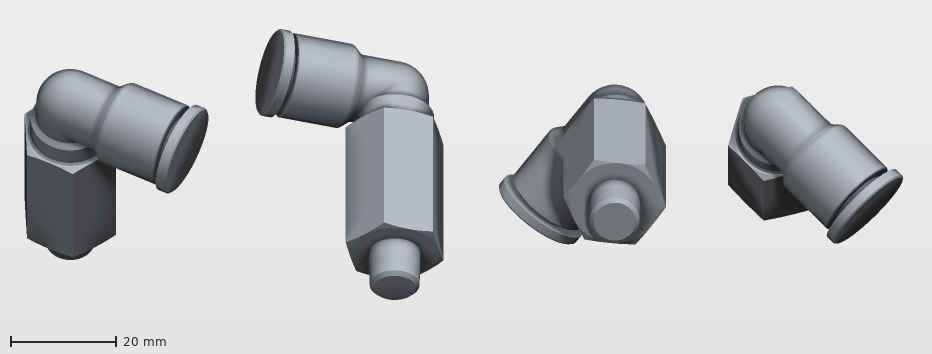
import cadquery as cq
import math

thread_chamfer = 0.75
hex_bottom = 8.05
hex_top = 35.7
flare_height = 0.35
collar_taper_top = 38.25
collar_rim = 39.75
collar_top = 40.75
overall_height = 52.95

thread_base_radius = 5.0
thread_taper = 1 / 32
thread_end_radius = thread_base_radius - (hex_bottom - thread_chamfer) * thread_taper

hex_across_flats = 17.0
hex_across_corners = hex_across_flats / math.cos(math.radians(30))
hex_chamfer_angle = 20

flare_radius = 8.15
collar_base_radius = 7.75
collar_radius = 7.5

elbow_radius = 6.5
socket_radius = 8.15
axis_height = overall_height - socket_radius
shoulder_start = 8.05
shoulder_end = 9.95
shoulder_fillet = 1.0
socket_end = 21.75
socket_chamfer = 0.185

neck_radius = 5.9
flange_start = 23.0
flange_thickness = 2.0
flange_half_width = 9.24
flange_half_height = 8.0
flange_chamfer = 0.3


def turned_about_z(profile):
    return cq.Workplane("XZ").polyline(profile).close().revolve(360, (0, 0, 0), (0, 1, 0))


def hexagon():
    height = hex_top - hex_bottom
    prism = cq.Workplane("XY", origin=(0, 0, hex_bottom)).polygon(6, hex_across_corners).extrude(height)
    flat_radius = hex_across_flats / 2
    corner_radius = hex_across_corners / 2
    drop = (corner_radius - flat_radius) * math.tan(math.radians(hex_chamfer_angle))
    turned_envelope = turned_about_z([
        (0, hex_bottom),
        (flat_radius, hex_bottom),
        (corner_radius, hex_bottom + drop),
        (corner_radius, hex_top - drop),
        (flat_radius, hex_top),
        (0, hex_top),
    ])
    return prism.intersect(turned_envelope)


def threaded_end():
    return turned_about_z([
        (0, 0),
        (thread_end_radius - thread_chamfer, 0),
        (thread_end_radius, thread_chamfer),
        (thread_base_radius, hex_bottom),
        (0, hex_bottom),
    ])


def collar():
    return turned_about_z([
        (0, hex_top),
        (flare_radius, hex_top),
        (collar_base_radius, hex_top + flare_height),
        (collar_radius, collar_taper_top),
        (collar_radius, collar_rim),
        (elbow_radius, collar_top),
        (0, collar_top),
    ])


def elbow():
    vertical_leg = (
        cq.Workplane("XY", origin=(0, 0, hex_top))
        .circle(elbow_radius)
        .extrude(axis_height - hex_top)
    )
    corner_ball = cq.Workplane("XY", origin=(0, 0, axis_height)).sphere(elbow_radius)
    return vertical_leg.union(corner_ball)


def socket():
    profile = [
        (0, 0),
        (0, elbow_radius),
        (shoulder_start, elbow_radius),
        (shoulder_end, socket_radius),
        (socket_end, socket_radius),
        (socket_end, 0),
    ]
    body = (
        cq.Workplane("XZ", origin=(0, 0, axis_height))
        .polyline(profile)
        .close()
        .revolve(360, (0, 0, 0), (1, 0, 0))
    )
    end_rim = body.faces(">X").edges().chamfer(socket_chamfer)
    shoulder = end_rim.faces("%CONE").faces("<X")
    return shoulder.edges("%CIRCLE").fillet(shoulder_fillet)


def release_ring():
    neck = (
        cq.Workplane("YZ", origin=(socket_end, 0, axis_height))
        .circle(neck_radius)
        .extrude(flange_start - socket_end)
    )
    flange = (
        cq.Workplane("YZ", origin=(flange_start, 0, axis_height))
        .ellipse(flange_half_width, flange_half_height)
        .extrude(flange_thickness)
        .faces(">X")
        .edges()
        .chamfer(flange_chamfer)
    )
    return neck.union(flange)


result = (
    threaded_end()
    .union(hexagon())
    .union(collar())
    .union(elbow())
    .union(socket())
    .union(release_ring())
)